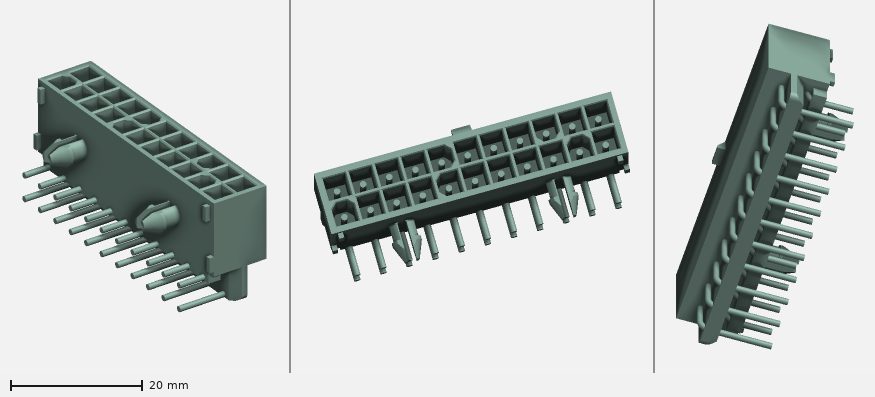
import cadquery as cq


length = 47.1
depth = 9.8
height = 12.8

columns = 11
pitch = 4.15
column_x = [(i - (columns - 1) / 2) * pitch for i in range(columns)]
row_middle_y = 4.8
front_row_y = row_middle_y - pitch / 2
back_row_y = row_middle_y + pitch / 2

cavity_side = 3.55
cavity_depth = 9.42
lead_in = 0.2
key_cut = 0.9
FRONT, BACK = "front", "back"
keyed_side = {
    (FRONT, 0): "+y",
    (FRONT, 4): "-x",
    (FRONT, 9): "+y",
    (BACK, 4): "+x",
    (BACK, 8): "-y",
}

pin_diameter = 1.0
pin_bend = 1.6
pin_reach = 4.55
pin_top_gap = 3.75

wall_drop = 6.05
wall_back_y = 6.2
wall_front_y = 3.75
wall_cut_x = 1.4
wall_cut_y = 1.45
wall_corner_radius = 0.95
rail_drop = wall_drop - pitch
rail_depth = 2.15
rail_inset = 1.4
back_tail_z = -wall_drop + pin_diameter / 2
front_tail_z = -rail_drop + pin_diameter / 2

pad_width = 0.8
pad_height = 2.6
pad_thick = 0.85
pad_end_gap = 0.85
upper_pad_x = 22.15

peg_x = 3 * pitch
peg_z = 5.95
peg_length = 6.1
peg_shaft_radius = 2.0
peg_head_radius = 2.3
peg_tip_radius = 1.2
peg_head_start = 2.7
peg_cone_start = 3.25
peg_base_fillet = 0.3
peg_flat_height = 3.55
peg_slot = 1.4

latch_width = 3.0
latch_reach = 1.23
latch_height = 2.55
latch_lip = 0.7
latch_top_gap = 0.2


def block(x, y, z):
    """Box from (min, max) pairs along each axis."""
    size = [high - low for low, high in (x, y, z)]
    return cq.Workplane("XY").box(*size, centered=False).translate((x[0], y[0], z[0]))


def cavity(row, column):
    """Cutter for one cavity: a square well with a lead-in at its mouth."""
    y = front_row_y if row == FRONT else back_row_y
    well = (
        cq.Workplane("XY")
        .workplane(offset=height - cavity_depth)
        .center(column_x[column], y)
        .rect(cavity_side, cavity_side)
        .extrude(cavity_depth)
    )
    side = keyed_side.get((row, column))
    if side:
        axis = side[1].upper()
        face = (">" if side[0] == "+" else "<") + axis
        well = well.faces(face).edges("|Z").chamfer(key_cut)
    mouth = (
        well.faces(">Z")
        .wires()
        .toPending()
        .offset2D(lead_in, "intersection")
        .extrude(-lead_in, taper=45, combine=False)
    )
    return well.union(mouth)


def pin(x, y, tail_z):
    """Contact pin: down from the cavity, round the bend, out past the board face."""
    top = height - pin_top_gap
    path = (
        cq.Workplane("YZ", origin=(x, 0, 0))
        .moveTo(y, top)
        .lineTo(y, tail_z + pin_bend)
        .radiusArc((y - pin_bend, tail_z), pin_bend)
        .lineTo(-pin_reach, tail_z)
    )
    section = cq.Workplane("XY", origin=(x, y, top)).circle(pin_diameter / 2)
    return section.sweep(path)


def pin_wall():
    """Full-length wall under the box, with rounded ends and bevelled front corners."""
    end = length / 2
    wall = block((-end, end), (wall_front_y, wall_back_y), (-wall_drop, 0))
    wall = wall.faces("<Z").edges("|Y").fillet(wall_corner_radius)
    for side in (-1, 1):
        bevel = (
            cq.Workplane("XY")
            .moveTo(side * end, wall_front_y)
            .lineTo(side * end, wall_front_y + wall_cut_y)
            .lineTo(side * (end - wall_cut_x), wall_front_y)
            .close()
            .extrude(-wall_drop)
        )
        wall = wall.cut(bevel)
    return wall


def peg(x):
    """Snap peg: round, flattened above and below, slotted, flared where it meets the box."""
    flare = peg_base_fillet
    body = (
        cq.Workplane("XY")
        .lineTo(peg_shaft_radius + flare, 0)
        .radiusArc((peg_shaft_radius, -flare), -flare)
        .lineTo(peg_shaft_radius, -peg_head_start)
        .lineTo(peg_head_radius, -peg_head_start)
        .lineTo(peg_head_radius, -peg_cone_start)
        .lineTo(peg_tip_radius, -peg_length)
        .lineTo(0, -peg_length)
        .close()
        .revolve(360, (0, 0), (0, 1))
    )
    half_slot = peg_slot / 2
    half_flat = peg_flat_height / 2
    slot = (
        cq.Workplane("XY")
        .moveTo(half_slot - flare, 0)
        .radiusArc((half_slot, -flare), flare)
        .lineTo(half_slot, -peg_length)
        .lineTo(-half_slot, -peg_length)
        .lineTo(-half_slot, -flare)
        .radiusArc((flare - half_slot, 0), flare)
        .close()
        .extrude(half_flat, both=True)
    )
    span = (-2 * peg_head_radius, 2 * peg_head_radius)
    flats = block(span, (-peg_length, 0), (-half_flat, half_flat))
    return body.intersect(flats).cut(slot).translate((x, 0, peg_z))


def latch():
    """Wedge on the back face, sloping out from the top."""
    bottom = height - latch_height
    return (
        cq.Workplane("YZ")
        .moveTo(depth, bottom)
        .lineTo(depth + latch_reach, bottom)
        .lineTo(depth + latch_reach, bottom + latch_lip)
        .lineTo(depth, height - latch_top_gap)
        .close()
        .extrude(latch_width / 2, both=True)
    )


def pad(x, z_low):
    """Standoff pad on the board face, centred at x."""
    half_width = pad_width / 2
    return block((x - half_width, x + half_width), (-pad_thick, 0), (z_low, z_low + pad_height))


def group(parts):
    """Separate parts gathered as one compound, to be added or cut in one step."""
    return cq.Workplane(cq.Compound.makeCompound([part.val() for part in parts]))


rail_end = length / 2 - rail_inset
result = (
    block((-length / 2, length / 2), (0, depth), (0, height))
    .cut(group([cavity(row, column) for row in (FRONT, BACK) for column in range(columns)]))
    .union(pin_wall())
    .union(block((-rail_end, rail_end), (0, rail_depth), (-rail_drop, 0)))
    .union(latch())
)

upper_pad_z = height - pad_end_gap - pad_height
lower_pad_x = (length - pad_width) / 2
for side in (-1, 1):
    upper_pad = pad(side * upper_pad_x, upper_pad_z)
    lower_pad = pad(side * lower_pad_x, pad_end_gap)
    result = result.union(group([upper_pad, lower_pad, peg(side * peg_x)]))

front_pins = [pin(x, front_row_y, front_tail_z) for x in column_x]
back_pins = [pin(x, back_row_y, back_tail_z) for x in column_x]
result = result.union(group(front_pins + back_pins))